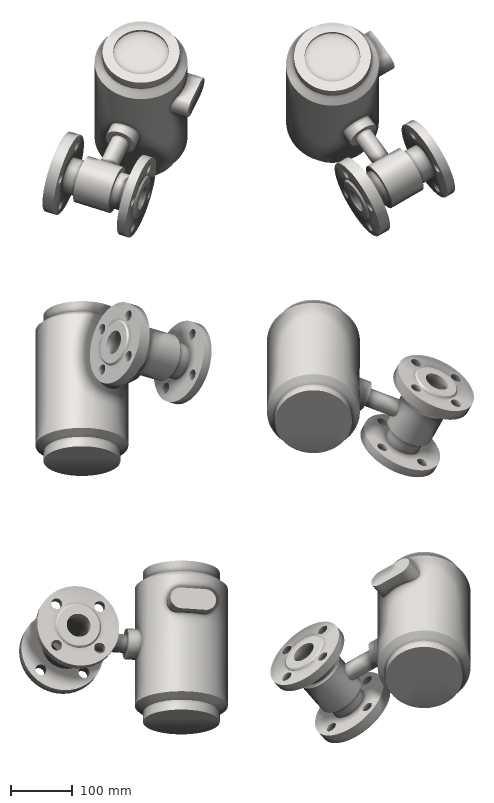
import cadquery as cq

body_dia = 150.0
cap_dia = 124.0
housing_height = 254.0
cap_height = 16.7
shoulder_height = 10.0
window_dia = 90.0
window_depth = 5.0

conduit_reach = 95.2
conduit_width = 75.0
conduit_height = 35.5
conduit_z = 51.5

face_dia = 75.0
face_height = 3.0
face_chamfer = 2.5
flange_dia = 135.0
left_flange_thickness = 19.0
right_flange_thickness = 15.0
pipe_dia = 60.0
sleeve_dia = 78.0
sleeve_length = 60.2
bore_dia = 39.0
bolt_hole_dia = 18.0
bolt_circle_dia = 100.0
bolt_count = 4
first_bolt_angle = 45

collar_dia = 50.0
collar_reach = 92.0
stem_dia = 30.0

overall_depth = 327.2
tube_y = body_dia / 2 - overall_depth + flange_dia / 2
tube_half = body_dia / 2
flange_outer_x = tube_half - face_height


def x_cylinder(diameter, start, end):
    """Cylinder on the flow tube axis between two X positions."""
    plane = cq.Workplane("YZ", origin=(start, tube_y, 0))
    return plane.circle(diameter / 2).extrude(end - start)


def make_housing():
    half_height = housing_height / 2
    cap_base = half_height - cap_height
    shoulder_base = cap_base - shoulder_height
    profile = (
        cq.Workplane("XZ")
        .moveTo(0, -half_height)
        .lineTo(cap_dia / 2, -half_height)
        .lineTo(cap_dia / 2, -cap_base)
        .lineTo(body_dia / 2, -shoulder_base)
        .lineTo(body_dia / 2, shoulder_base)
        .lineTo(cap_dia / 2, cap_base)
        .lineTo(cap_dia / 2, half_height)
        .lineTo(0, half_height)
        .close()
    )
    housing = profile.revolve(360, (0, 0, 0), (0, 1, 0))
    return housing.faces(">Z").workplane().hole(window_dia, window_depth)


def make_conduit():
    plane = cq.Workplane("YZ", origin=(0, 0, conduit_z))
    return plane.slot2D(conduit_width, conduit_height).extrude(conduit_reach)


def make_neck():
    plane = cq.Workplane("XZ")
    collar = plane.circle(collar_dia / 2).extrude(collar_reach)
    stem = plane.circle(stem_dia / 2).extrude(-tube_y)
    return collar.union(stem)


def make_flow_tube():
    pipe = x_cylinder(pipe_dia, -flange_outer_x, flange_outer_x)
    sleeve = x_cylinder(sleeve_dia, -sleeve_length / 2, sleeve_length / 2)
    left_flange = x_cylinder(flange_dia, -flange_outer_x, left_flange_thickness - flange_outer_x)
    right_flange = x_cylinder(flange_dia, flange_outer_x - right_flange_thickness, flange_outer_x)
    raised_faces = x_cylinder(face_dia, -tube_half, -flange_outer_x).faces("<X").chamfer(face_chamfer)
    raised_faces = raised_faces.union(raised_faces.mirror("YZ"))
    return pipe.union(sleeve).union(left_flange).union(right_flange).union(raised_faces)


def make_bolt_holes():
    return (
        cq.Workplane("YZ", origin=(-tube_half, tube_y, 0))
        .polarArray(bolt_circle_dia / 2, first_bolt_angle, 360, bolt_count)
        .circle(bolt_hole_dia / 2)
        .extrude(2 * tube_half)
    )


housing_assembly = make_housing().union(make_conduit())
flow_tube_assembly = make_flow_tube().union(make_neck())
bore = x_cylinder(bore_dia, -tube_half, tube_half)
result = housing_assembly.union(flow_tube_assembly).cut(bore).cut(make_bolt_holes())